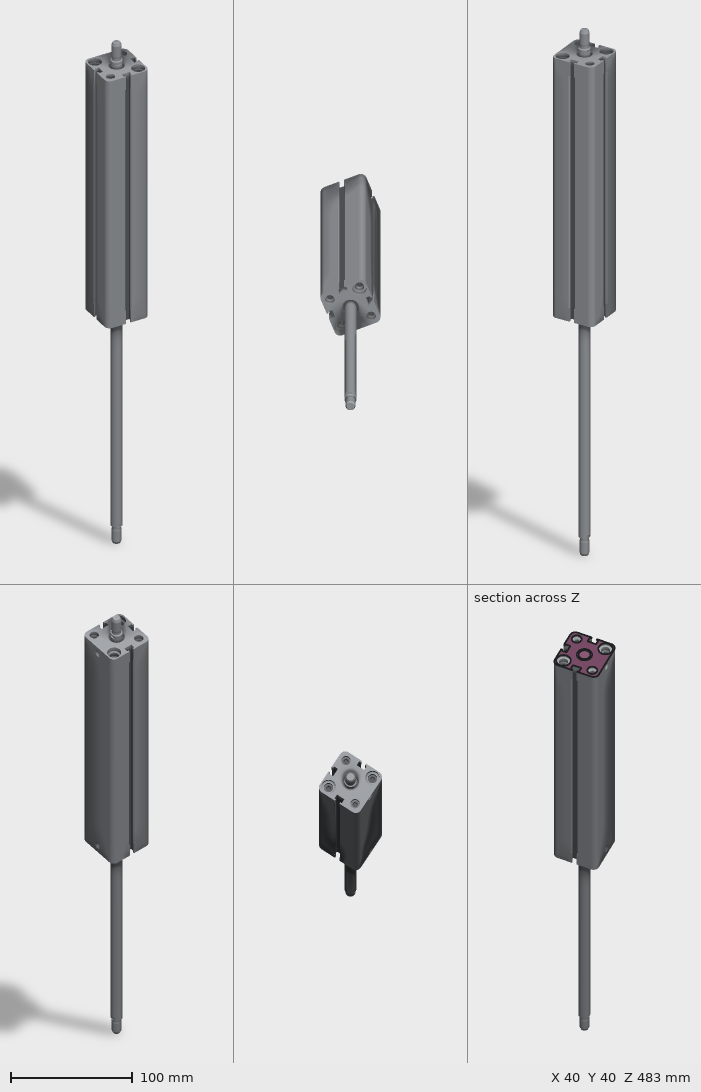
import cadquery as cq

TOTAL_LENGTH = 483.0
BODY_WIDTH = 40.0
CORNER_RADIUS = 5.0
BODY_BOTTOM = 222.0
BODY_LENGTH = 238.5
CAP_HEIGHT = 12.5

SLOT_MOUTH = 4.5
SLOT_WIDTH = 7.2
SLOT_DEPTH = 5.5
SLOT_LIP = 1.5
MOUTH_CHAMFER = 1.0

ROD_DIAMETER = 10.0
THREAD_DIAMETER = 8.0
THREAD_LENGTH = 17.0
TIP_DIAMETER = 6.5
TIP_CHAMFER = 2.5
NECK_DIAMETER = 7.5
NECK_LENGTH = 4.5
NECK_TAPER = 1.5
NECK_FILLET = 1.0
FLATS_WIDTH = 8.0
FLATS_LENGTH = 3.0

BOLT_SPACING = 26.0
BOLT_CORE = 4.15
BOLT_CORE_DEPTH = 4.0
BOLT_COUNTERSINK = 6.0
BOLT_RECESS = 7.5
BOLT_RECESS_DEPTH = 4.0
COUNTERBORE = 11.5
COUNTERBORE_DEPTH = 4.0
SEAL_RECESS = 14.0
SEAL_BORE = 12.0
SEAL_CHAMFER = 1.0
SEAL_DEPTH = 2.0
PORT_DIAMETER = 4.15
PORT_COUNTERSINK = 6.0
PORT_DEPTH = 7.2
PORT_OFFSET = 7.2

HALF_WIDTH = BODY_WIDTH / 2
BODY_TOP = BODY_BOTTOM + BODY_LENGTH
BODY_MIDDLE = BODY_BOTTOM + BODY_LENGTH / 2
TUBE_BOTTOM = BODY_BOTTOM + CAP_HEIGHT
TUBE_LENGTH = BODY_LENGTH - 2 * CAP_HEIGHT
SLOT_ANGLES = (-90, 0, 90)


def square_bar(bottom, height):
    """Square bar with rounded vertical edges."""
    bar = cq.Workplane("XY").workplane(offset=bottom).rect(BODY_WIDTH, BODY_WIDTH).extrude(height)
    return bar.edges("|Z").fillet(CORNER_RADIUS)


def cylinder(diameter, bottom, height):
    """Round bar about the Z axis."""
    return cq.Workplane("XY").workplane(offset=bottom).circle(diameter / 2).extrude(height)


def slot_cutter(bottom, height, mouth_chamfer):
    """Undercut slot in the +X side."""
    outer = HALF_WIDTH
    lip = outer - SLOT_LIP
    floor = outer - SLOT_DEPTH
    half_mouth = SLOT_MOUTH / 2
    half_width = SLOT_WIDTH / 2
    half_profile = [(floor, half_width), (lip, half_width), (lip, half_mouth)]
    if mouth_chamfer > 0:
        half_profile.append((outer - mouth_chamfer, half_mouth))
    half_profile.append((outer, half_mouth + mouth_chamfer))
    other_half = [(x, -y) for x, y in reversed(half_profile)]
    plane = cq.Workplane("XY").workplane(offset=bottom)
    return plane.polyline(half_profile + other_half).close().extrude(height)


def cut_slots(body, bottom, height, mouth_chamfer):
    """Cut the same slot into each slotted side of a body."""
    cutter = slot_cutter(bottom, height, mouth_chamfer)
    for angle in SLOT_ANGLES:
        body = body.cut(cutter.rotate((0, 0, 0), (0, 0, 1), angle))
    return body


def make_tube():
    """Slotted tube, bored to the rod diameter."""
    tube = square_bar(TUBE_BOTTOM, TUBE_LENGTH)
    tube = cut_slots(tube, TUBE_BOTTOM, TUBE_LENGTH, MOUTH_CHAMFER)
    return tube.cut(cylinder(ROD_DIAMETER, TUBE_BOTTOM, TUBE_LENGTH))


def stepped_hole(steps):
    """Cutter for a blind round hole down from Z = 0, given its (radius, depth) points from the top."""
    points = [(0, 0)] + [(radius, -depth) for radius, depth in steps] + [(0, -steps[-1][1])]
    return cq.Workplane("XZ").polyline(points).close().revolve(360, (0, 0, 0), (0, 1, 0))


def bolt_hole(has_counterbore):
    """Corner hole: recess, countersink and threaded core, in some corners below a wider counterbore."""
    recess = BOLT_RECESS / 2
    countersink = BOLT_COUNTERSINK / 2
    core = BOLT_CORE / 2
    top = COUNTERBORE_DEPTH if has_counterbore else 0
    floor = top + BOLT_RECESS_DEPTH
    steps = [
        (recess, top),
        (recess, floor),
        (countersink, floor),
        (core, floor + countersink - core),
        (core, floor + BOLT_CORE_DEPTH),
    ]
    if has_counterbore:
        steps = [(COUNTERBORE / 2, 0), (COUNTERBORE / 2, top)] + steps
    return stepped_hole(steps)


def seal_recess():
    """Chamfered recess round the rod."""
    return stepped_hole([
        (SEAL_RECESS / 2, 0),
        (SEAL_BORE / 2, SEAL_CHAMFER),
        (SEAL_BORE / 2, SEAL_DEPTH),
    ])


def port_hole():
    """Countersunk port, entering from the -X side."""
    hole = stepped_hole([
        (PORT_COUNTERSINK / 2, 0),
        (PORT_DIAMETER / 2, (PORT_COUNTERSINK - PORT_DIAMETER) / 2),
        (PORT_DIAMETER / 2, PORT_DEPTH),
    ])
    return hole.rotate((0, 0, 0), (0, 1, 0), -90).translate((-HALF_WIDTH, 0, BODY_TOP - PORT_OFFSET))


def make_top_cap():
    """Slotted cap with a rod bore, a seal recess, a port and four corner holes."""
    bottom = BODY_TOP - CAP_HEIGHT
    cap = cut_slots(square_bar(bottom, CAP_HEIGHT), bottom, CAP_HEIGHT, 0)
    cap = cap.cut(cylinder(ROD_DIAMETER, bottom, CAP_HEIGHT))
    cap = cap.cut(seal_recess().translate((0, 0, BODY_TOP)))
    cap = cap.cut(port_hole())
    for x_side in (-1, 1):
        for y_side in (-1, 1):
            centre = (x_side * BOLT_SPACING / 2, y_side * BOLT_SPACING / 2, BODY_TOP)
            cap = cap.cut(bolt_hole(x_side == y_side).translate(centre))
    return cap


def make_bottom_cap():
    """Mirror image of the top cap about the middle of the body."""
    return make_top_cap().mirror("XY", (0, 0, BODY_MIDDLE))


def make_rod():
    """Through rod, both ends alike: chamfered tip, thread, neck, shoulder and two wrench flats."""
    tip = TIP_DIAMETER / 2
    thread = THREAD_DIAMETER / 2
    neck = NECK_DIAMETER / 2
    shoulder = ROD_DIAMETER / 2
    neck_start = THREAD_LENGTH - NECK_LENGTH
    lower_end = (
        cq.Workplane("XZ")
        .moveTo(0, 0)
        .lineTo(tip, 0)
        .lineTo(thread, TIP_CHAMFER)
        .lineTo(thread, neck_start)
        .lineTo(neck, neck_start + NECK_TAPER)
        .lineTo(neck, THREAD_LENGTH - NECK_FILLET)
        .radiusArc((neck + NECK_FILLET, THREAD_LENGTH), NECK_FILLET)
        .lineTo(shoulder, THREAD_LENGTH)
        .lineTo(shoulder, TOTAL_LENGTH / 2)
        .lineTo(0, TOTAL_LENGTH / 2)
        .close()
        .revolve(360, (0, 0, 0), (0, 1, 0))
    )
    upper_end = lower_end.mirror("XY", (0, 0, TOTAL_LENGTH / 2))
    rod = lower_end.union(upper_end)
    flat_cut = (ROD_DIAMETER - FLATS_WIDTH) / 2
    flat_centre = (FLATS_WIDTH + flat_cut) / 2
    flat_height = THREAD_LENGTH + FLATS_LENGTH / 2
    for side in (-1, 1):
        for z in (flat_height, TOTAL_LENGTH - flat_height):
            cutter = cq.Workplane("XY").box(flat_cut, ROD_DIAMETER, FLATS_LENGTH)
            rod = rod.cut(cutter.translate((side * flat_centre, 0, z)))
    return rod


tube = make_tube()
top_cap = make_top_cap()
bottom_cap = make_bottom_cap()
rod = make_rod()

result = cq.Compound.makeCompound([tube.val(), top_cap.val(), bottom_cap.val(), rod.val()])